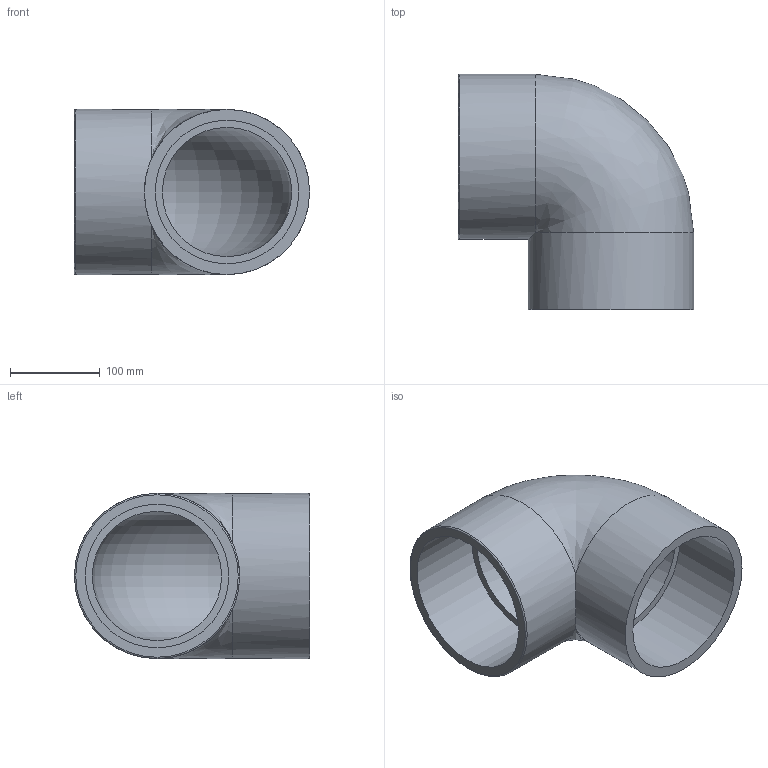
import cadquery as cq
import math

outer_diameter = 184.0
socket_diameter = 160.0
bore_diameter = 144.0
center_to_face = 170.0
socket_length = 86.0
end_round_radius = 1.5
bend_angle = 90.0

outer_radius = outer_diameter / 2
bend_radius = center_to_face - socket_length


def x_cylinder(diameter):
    """Cylinder along X from the -X face to the start of the bend."""
    face = cq.Workplane("YZ").workplane(offset=-center_to_face)
    return face.circle(diameter / 2).extrude(socket_length)


def y_cylinder(diameter):
    """Cylinder along Y from the -Y face to the end of the bend."""
    face = cq.Workplane("XZ").workplane(offset=center_to_face)
    return face.circle(diameter / 2).extrude(-socket_length)


def bend_start():
    """Plane at the inner end of the X socket, centered on its axis."""
    return cq.Workplane("YZ").workplane(offset=-bend_radius)


def turn_through_bend(section):
    """Turn a section from the inner end of the X socket to the inner end of the Y socket."""
    return section.revolve(bend_angle, (-bend_radius, 1), (-bend_radius, -1))


def outer_bend():
    """Outside of the bend; its round section is cut off where it reaches the bend axis."""
    half_chord = math.sqrt(outer_radius**2 - bend_radius**2)
    section = (
        bend_start()
        .moveTo(-bend_radius, -half_chord)
        .threePointArc((outer_radius, 0), (-bend_radius, half_chord))
        .close()
    )
    return cq.Workplane(turn_through_bend(section).val().toNURBS())


def outer_body():
    """Both sockets and the bend, solid; the open end of the X socket has a rounded rim."""
    x_socket = x_cylinder(outer_diameter).faces("<X").edges().fillet(end_round_radius)
    return x_socket.union(y_cylinder(outer_diameter)).union(outer_bend())


def passage():
    """Two wide sockets joined by the narrower bore, which leaves a pipe stop in each."""
    bore = turn_through_bend(bend_start().circle(bore_diameter / 2))
    return bore.union(x_cylinder(socket_diameter)).union(y_cylinder(socket_diameter))


result = outer_body().cut(passage())